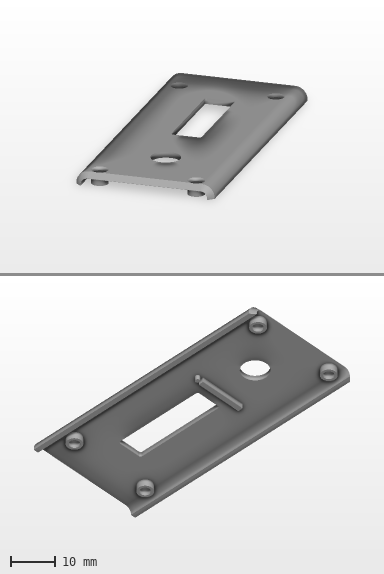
import cadquery as cq

width = 33.0
length = 69.25
height = 3.25
thickness = 1.4
corner_radius = 3.0

bevel_length = 1.2
bevel_depth = 1.3

boss_diameter = 4.0
screw_diameter = 2.7
screw_spacing = 23.05
screw_rows = (-31.5, 26.6)

opening_x = 0.2
window_width = 7.2
window_length = 25.1
window_y = 8.0
window_corner_radius = 0.55
button_diameter = 7.0
button_y = -19.2

locator_drop = 1.3
bar_width = 12.9
bar_length = 1.4
bar_y = -8.3
pin_diameter = 1.25
pin_x = -7.35

front_y = -length / 2
underside = height - thickness


def arch_profile(inset, y):
    """Closed outline with rounded shoulders, inset from the outer surface."""
    half_width = width / 2 - inset
    top = height - inset
    radius = corner_radius - inset
    return (
        cq.Workplane("XZ", origin=(0, y, 0))
        .moveTo(-half_width, 0)
        .lineTo(-half_width, top - radius)
        .radiusArc((-half_width + radius, top), radius)
        .lineTo(half_width - radius, top)
        .radiusArc((half_width, top - radius), radius)
        .lineTo(half_width, 0)
        .close()
    )


def shell():
    """Curved plate open underneath and at both ends, bevelled at the front."""
    body = arch_profile(0, front_y + bevel_length).extrude(bevel_length - length)
    large_end = arch_profile(0, front_y + bevel_length).wires().val()
    small_end = arch_profile(bevel_depth, front_y).wires().val()
    bevel = cq.Workplane(cq.Solid.makeLoft([large_end, small_end], True))
    cavity = arch_profile(thickness, front_y).extrude(-length)
    return body.union(bevel).cut(cavity)


def cylinder_at(x, y, diameter, bottom, top):
    return (
        cq.Workplane("XY", origin=(x, y, bottom))
        .circle(diameter / 2)
        .extrude(top - bottom)
    )


def locators():
    """Cross bar and round pin on the underside."""
    bottom = underside - locator_drop
    top = height - thickness / 2
    bar = (
        cq.Workplane("XY", origin=(opening_x, bar_y, bottom))
        .rect(bar_width, bar_length)
        .extrude(top - bottom)
    )
    return bar.union(cylinder_at(pin_x, bar_y, pin_diameter, bottom, top))


def window():
    return (
        cq.Workplane("XY", origin=(opening_x, window_y, 0))
        .rect(window_width, window_length)
        .extrude(height)
        .edges("|Z")
        .fillet(window_corner_radius)
    )


def countersink():
    """45-degree cone from the boss diameter down to the screw hole."""
    depth = (boss_diameter - screw_diameter) / 2
    return cq.Solid.makeCone(screw_diameter / 2, boss_diameter / 2, depth).translate(
        cq.Vector(0, 0, height - depth)
    )


screw_positions = [(x, y) for x in (-screw_spacing / 2, screw_spacing / 2) for y in screw_rows]

result = shell().union(locators()).cut(window())
result = result.cut(cylinder_at(opening_x, button_y, button_diameter, 0, height))

for x, y in screw_positions:
    result = result.union(cylinder_at(x, y, boss_diameter, 0, height - thickness / 2))
    result = result.cut(cylinder_at(x, y, screw_diameter, 0, height))
    result = result.cut(cq.Workplane(countersink().translate(cq.Vector(x, y, 0))))